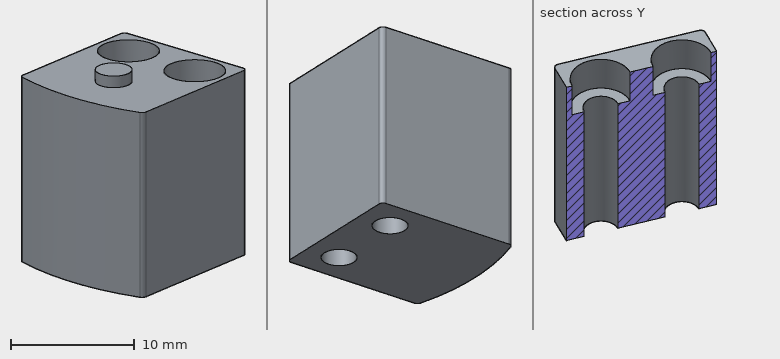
import cadquery as cq
import math

total_height = 17.0
pin_height = 1.0
block_height = total_height - pin_height
block_width = 13.0
block_depth = 13.99
front_radius = 22.0
corner_radius = 0.4

hole_spacing = 7.0
hole_from_back = 3.0
hole_diameter = 2.9
counterbore_diameter = 5.0
counterbore_depth = 3.0

pin_diameter = 3.0
pin_from_back = 9.01

half_width = block_width / 2
front_rise = front_radius - math.sqrt(front_radius**2 - half_width**2)
hole_y = block_depth - hole_from_back
pin_y = block_depth - pin_from_back


def make_block():
    """Block with a curved front, rounded vertical edges and two counterbored through holes."""
    block = (
        cq.Workplane("XY")
        .moveTo(-half_width, block_depth)
        .lineTo(-half_width, front_rise)
        .threePointArc((0, 0), (half_width, front_rise))
        .lineTo(half_width, block_depth)
        .close()
        .extrude(block_height)
        .edges("|Z")
        .fillet(corner_radius)
    )
    hole_centers = [(side * hole_spacing / 2, hole_y) for side in (-1, 1)]
    return (
        block.faces(">Z")
        .workplane(origin=(0, 0, block_height))
        .pushPoints(hole_centers)
        .cboreHole(hole_diameter, counterbore_diameter, counterbore_depth)
    )


def make_pin():
    """Short round pin seated flat on the top face of the block."""
    return (
        cq.Workplane("XY", origin=(0, pin_y, block_height))
        .circle(pin_diameter / 2)
        .extrude(pin_height)
    )


block = make_block()
pin = make_pin()

result = cq.Compound.makeCompound([block.solids().val(), pin.val()])